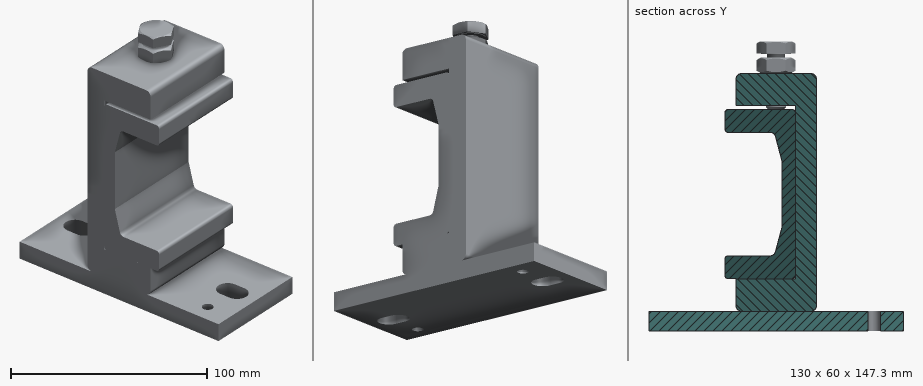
import cadquery as cq
import math

total_height = 147.3
depth = 60.0

plate_length = 130.0
plate_thickness = 10.0
hole_offset_x = 50.0
pin_hole_offset_y = 20.0
pin_hole_diameter = 6.0
slot_length = 18.0
slot_width = 12.0

bracket_width = 41.2
bracket_top = 131.2
bracket_arm = 16.5
bracket_wall = 10.9
bracket_fillet = 3.0
bracket_left = -bracket_width / 2
opening_left = bracket_left + bracket_wall
opening_bottom = plate_thickness + bracket_arm
opening_top = bracket_top - bracket_arm

channel_width = 36.0
channel_height = 86.5
channel_flange = 12.0
channel_web = 6.9
taper_height = 14.5
taper_width = 3.8
channel_root_fillet = 2.5
channel_edge_fillet = 1.8
channel_top = opening_bottom + channel_height
channel_right = opening_left + channel_width

hex_flats = 17.1
hex_corners = hex_flats / math.cos(math.pi / 6)
head_face_diameter = 16.6
nut_face_diameter = 15.5
hex_chamfer_angle = math.radians(30)
head_height = 6.0
bearing_diameter = 15.5
bearing_thickness = 0.3
nut_height = 8.0
bolt_diameter = 10.0
neck_diameter = 9.1
bolt_point_diameter = 8.4
bolt_point_height = 0.9
head_bottom = total_height - head_height


def make_plate():
    """Flat base with two slots and two diagonally opposite pin holes."""
    blank = cq.Workplane("XY").box(
        plate_length, depth, plate_thickness, centered=(True, True, False)
    )
    top = blank.faces(">Z").workplane(origin=(0, 0, plate_thickness))
    slot_centers = [(-hole_offset_x, 0), (hole_offset_x, 0)]
    slotted = top.pushPoints(slot_centers).slot2D(slot_length, slot_width).cutThruAll()
    pin_holes = [(-hole_offset_x, pin_hole_offset_y), (hole_offset_x, -pin_hole_offset_y)]
    return (
        slotted.faces(">Z")
        .workplane(origin=(0, 0, plate_thickness))
        .pushPoints(pin_holes)
        .hole(pin_hole_diameter)
    )


def make_bracket():
    """C-shaped bracket, open toward +X, with a bolt hole in its upper arm."""
    block = (
        cq.Workplane("XY", origin=(0, 0, plate_thickness))
        .box(bracket_width, depth, bracket_top - plate_thickness, centered=(True, True, False))
        .edges("|Y")
        .fillet(bracket_fillet)
    )
    opening = cq.Workplane("XY", origin=(opening_left, 0, opening_bottom)).box(
        bracket_width, depth, opening_top - opening_bottom, centered=(False, True, False)
    )
    bolt_hole = (
        cq.Workplane("XY", origin=(0, 0, opening_top))
        .circle(bolt_diameter / 2)
        .extrude(bracket_arm)
    )
    return block.cut(opening).cut(bolt_hole)


def make_channel():
    """U-section channel whose web thickens toward both flanges."""
    web_right = opening_left + channel_web
    root_x = web_right + taper_width
    lower_root_z = opening_bottom + channel_flange
    upper_root_z = channel_top - channel_flange
    outline = [
        (opening_left, opening_bottom),
        (channel_right, opening_bottom),
        (channel_right, lower_root_z),
        (root_x, lower_root_z),
        (web_right, lower_root_z + taper_height),
        (web_right, upper_root_z - taper_height),
        (root_x, upper_root_z),
        (channel_right, upper_root_z),
        (channel_right, channel_top),
        (opening_left, channel_top),
    ]
    body = cq.Workplane("XZ").polyline(outline).close().extrude(depth / 2, both=True)
    roots = cq.selectors.BoxSelector(
        (root_x - channel_root_fillet, -depth, lower_root_z - channel_root_fillet),
        (root_x + channel_root_fillet, depth, upper_root_z + channel_root_fillet),
    )
    body = body.edges("|Y").edges(roots).fillet(channel_root_fillet)
    return body.faces("<X or >X").edges("|Y").fillet(channel_edge_fillet)


def make_hexagon(bottom, height, face_diameter, chamfer_bottom):
    """Hexagonal prism with conically chamfered corners at the top and optionally the bottom."""
    prism = cq.Workplane("XY", origin=(0, 0, bottom)).polygon(6, hex_corners).extrude(height)
    face_radius = face_diameter / 2
    corner_radius = hex_corners / 2
    drop = (corner_radius - face_radius) * math.tan(hex_chamfer_angle)
    profile = [(0, height), (face_radius, height), (corner_radius, height - drop)]
    if chamfer_bottom:
        profile += [(corner_radius, drop), (face_radius, 0), (0, 0)]
    else:
        profile += [(corner_radius, 0), (0, 0)]
    envelope = (
        cq.Workplane("XZ", origin=(0, 0, bottom))
        .polyline(profile)
        .close()
        .revolve(360, (0, 0, 0), (0, 1, 0))
    )
    return prism.intersect(envelope)


def make_bolt():
    """Hex bolt with a bearing disc under its head, a narrower neck and a chamfered point."""
    bearing = (
        cq.Workplane("XY", origin=(0, 0, head_bottom - bearing_thickness))
        .circle(bearing_diameter / 2)
        .extrude(bearing_thickness)
    )
    neck = (
        cq.Workplane("XY", origin=(0, 0, bracket_top))
        .circle(neck_diameter / 2)
        .extrude(head_bottom - bracket_top)
    )
    point_chamfer = (bolt_diameter - bolt_point_diameter) / 2
    shank = (
        cq.Workplane("XY", origin=(0, 0, channel_top))
        .circle(bolt_diameter / 2)
        .extrude(bracket_top - channel_top)
        .faces("<Z")
        .chamfer(bolt_point_height, point_chamfer)
    )
    head = make_hexagon(head_bottom, head_height, head_face_diameter, False)
    return head.union(bearing).union(neck).union(shank)


def make_nut():
    """Lock nut seated on the bracket, bored to fit the bolt neck."""
    bore = (
        cq.Workplane("XY", origin=(0, 0, bracket_top))
        .circle(neck_diameter / 2)
        .extrude(nut_height)
    )
    return make_hexagon(bracket_top, nut_height, nut_face_diameter, True).cut(bore)


plate = make_plate()
bracket = make_bracket()
channel = make_channel()
bolt = make_bolt()
nut = make_nut()

result = cq.Compound.makeCompound(
    [plate.val(), bracket.val(), channel.val(), bolt.val(), nut.val()]
)